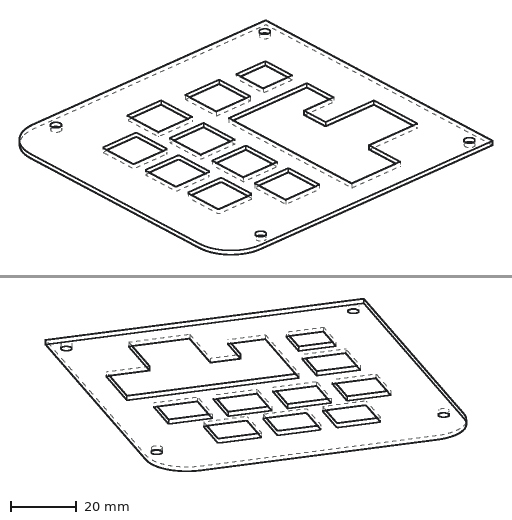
import cadquery as cq

width = 102.0
length = 109.0
thickness = 1.5
front_corner_radius = 13.1

left = -width / 2
right = width / 2
back = length / 2
front = -length / 2

hole_diameter = 3.4
hole_side_inset = 5.0
hole_back_inset = 5.0
hole_front_inset = 17.9

key_pitch = 19.1
key_size = 14.0
upper_row_keys = 4
upper_row_x = -0.1
upper_row_y = front + 44.8
lower_row_keys = 3
lower_row_x = 0.0
lower_row_y = upper_row_y - key_pitch
lower_key_radius = 0.5

display_left = left + 37.4
display_right = left + 92.5
display_bottom = back - 49.5
display_shoulder = back - 29.5
display_tab_width = 12.0
display_tab_top = back - 17.3
display_tower_left = left + 59.1
display_tower_width = 19.5
display_tower_top = back - 9.6

side_column_x = left + 24.7
small_opening_size = display_tab_width
small_opening_y = display_tab_top - small_opening_size / 2
side_key_y = display_bottom + key_size / 2


def make_plate():
    """Plate with its two front corners rounded."""
    plate = cq.Workplane("XY").rect(width, length).extrude(thickness)
    return plate.edges("|Z and <Y").fillet(front_corner_radius)


def make_screw_holes():
    """One pin per screw hole."""
    hole_x = right - hole_side_inset
    centres = [
        (x, y)
        for x in (-hole_x, hole_x)
        for y in (front + hole_front_inset, back - hole_back_inset)
    ]
    return cq.Workplane("XY").pushPoints(centres).circle(hole_diameter / 2).extrude(thickness)


def make_square(x, y, size):
    """Square through-cutter centred on (x, y)."""
    return cq.Workplane("XY").center(x, y).rect(size, size).extrude(thickness)


def row_positions(count, centre_x):
    """X positions of a key row centred on centre_x."""
    return [centre_x + (i - (count - 1) / 2) * key_pitch for i in range(count)]


def make_display_opening():
    """Wide window with a narrow tab at its left end and a taller tower."""
    tab_right = display_left + display_tab_width
    tower_right = display_tower_left + display_tower_width
    outline = [
        (display_left, display_bottom),
        (display_left, display_tab_top),
        (tab_right, display_tab_top),
        (tab_right, display_shoulder),
        (display_tower_left, display_shoulder),
        (display_tower_left, display_tower_top),
        (tower_right, display_tower_top),
        (tower_right, display_shoulder),
        (display_right, display_shoulder),
        (display_right, display_bottom),
    ]
    return cq.Workplane("XY").polyline(outline).close().extrude(thickness)


result = make_plate().cut(make_screw_holes()).cut(make_display_opening())
result = result.cut(make_square(side_column_x, small_opening_y, small_opening_size))
result = result.cut(make_square(side_column_x, side_key_y, key_size))

for key_x in row_positions(upper_row_keys, upper_row_x):
    result = result.cut(make_square(key_x, upper_row_y, key_size))

for key_x in row_positions(lower_row_keys, lower_row_x):
    key = make_square(key_x, lower_row_y, key_size)
    result = result.cut(key.edges("|Z").fillet(lower_key_radius))